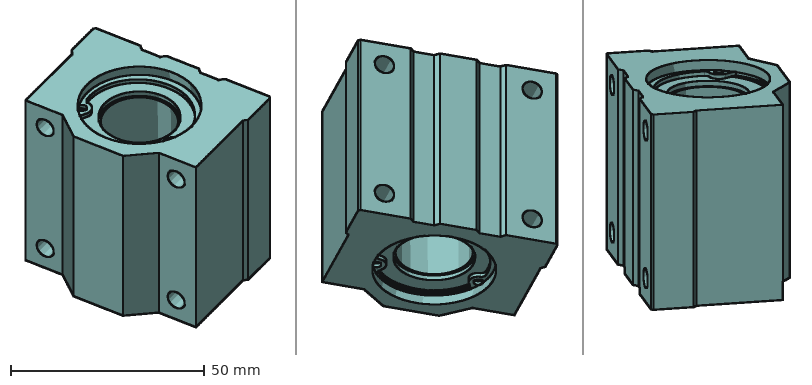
import cadquery as cq
import math

length = 53.0
flange_half = 27.0
body_half = 26.05
back_y = 21.0
flange_y = 9.9
shoulder_y = -14.0
nose_y = -20.0
nose_root_half = 14.7
nose_tip_half = 7.55
corner_chamfer = 0.55
flange_bevel = flange_half - body_half

channel_outer = 12.9
channel_inner = 4.95
channel_depth = 1.2

mount_diameter = 5.2
mount_pitch = 40.0

bearing_diameter = 32.0
bearing_length = 45.15
bearing_chamfer = 0.6
bore_diameter = 20.0
mouth_diameter = 21.2
mouth_depth = 1.45

ring_diameter = 33.7
ring_thickness = 1.2
ring_inner_radius = 14.75
ring_inner_offset = -0.7
lug_diameter = 5.2
lug_hole_diameter = 2.5
lug_x = 13.8
lug_y = -5.95
lug_flank_angle = 62.0
lug_fillet = 1.2


def cylinder(diameter, height, bottom_z=0.0, x=0.0, y=0.0):
    """Upright cylinder standing on bottom_z."""
    return cq.Workplane("XY", origin=(x, y, bottom_z)).circle(diameter / 2).extrude(height)


def make_profile_block():
    right_side = [
        (nose_tip_half, nose_y),
        (nose_root_half, shoulder_y),
        (body_half, shoulder_y),
        (body_half, flange_y - flange_bevel),
        (flange_half, flange_y),
        (flange_half, back_y - corner_chamfer),
        (flange_half - corner_chamfer, back_y),
        (channel_outer, back_y),
        (channel_outer - channel_depth, back_y - channel_depth),
        (channel_inner + channel_depth, back_y - channel_depth),
        (channel_inner, back_y),
    ]
    left_side = [(-x, y) for x, y in reversed(right_side)]
    outline = cq.Workplane("XY", origin=(0, 0, -length / 2)).polyline(right_side + left_side)
    return outline.close().extrude(length)


def make_housing():
    block = make_profile_block()
    block = block.cut(cylinder(bearing_diameter, length, -length / 2))
    for bottom_z in (bearing_length / 2, -bearing_length / 2 - ring_thickness):
        block = block.cut(cylinder(ring_diameter, ring_thickness, bottom_z))
    mount_holes = (
        cq.Workplane("XZ", origin=(0, back_y, 0))
        .rarray(mount_pitch, mount_pitch, 2, 2)
        .circle(mount_diameter / 2)
        .extrude(back_y - nose_y)
    )
    return block.cut(mount_holes)


def make_bearing():
    half_length = bearing_length / 2
    sleeve = cylinder(bearing_diameter, bearing_length, -half_length)
    sleeve = sleeve.faces("<Z or >Z").edges().chamfer(bearing_chamfer)
    sleeve = sleeve.cut(cylinder(bore_diameter, bearing_length, -half_length))
    for bottom_z in (-half_length, half_length - mouth_depth):
        sleeve = sleeve.cut(cylinder(mouth_diameter, mouth_depth, bottom_z))
    return sleeve


def make_lug(side, bottom_z):
    """Round lug whose lower flank runs on in a straight line to the rim of the ring."""
    lug = cylinder(lug_diameter, ring_thickness, bottom_z, side * lug_x, lug_y)
    flank = (
        cq.Workplane("XY", origin=(side * lug_x, lug_y, bottom_z))
        .transformed(rotate=(0, 0, -90 + side * (90 - lug_flank_angle)))
        .center(lug_diameter / 2, 0)
        .rect(lug_diameter, lug_diameter)
        .extrude(ring_thickness)
    )
    return lug.union(flank)


def lug_corners(bottom_z):
    """Selector for the inner corners where the band of the ring runs into the lugs."""
    radius = lug_diameter / 2
    dx = lug_x
    dy = lug_y - ring_inner_offset
    distance = math.hypot(dx, dy)
    along = (ring_inner_radius**2 - radius**2 + distance**2) / (2 * distance)
    across = math.sqrt(ring_inner_radius**2 - along**2)
    corner_x = (along * dx - across * dy) / distance
    corner_y = ring_inner_offset + (along * dy + across * dx) / distance
    middle_z = bottom_z + ring_thickness / 2
    right = cq.selectors.NearestToPointSelector((corner_x, corner_y, middle_z))
    left = cq.selectors.NearestToPointSelector((-corner_x, corner_y, middle_z))
    return right + left


def make_ring(bottom_z):
    """Open retaining ring, thinning from the back toward two eyed lugs at the front."""
    disc = cylinder(ring_diameter, ring_thickness, bottom_z)
    ring = disc.cut(cylinder(2 * ring_inner_radius, ring_thickness, bottom_z, y=ring_inner_offset))
    gap_reach = ring_diameter
    gap_x = gap_reach * lug_x / math.hypot(lug_x, lug_y)
    gap_y = gap_reach * lug_y / math.hypot(lug_x, lug_y)
    gap = (
        cq.Workplane("XY", origin=(0, 0, bottom_z))
        .polyline([(0, 0), (gap_x, gap_y), (0, -2 * gap_reach), (-gap_x, gap_y)])
        .close()
        .extrude(ring_thickness)
    )
    ring = ring.cut(gap)
    for side in (-1, 1):
        ring = ring.union(make_lug(side, bottom_z).intersect(disc))
    ring = ring.edges(lug_corners(bottom_z)).fillet(lug_fillet)
    for side in (-1, 1):
        ring = ring.cut(cylinder(lug_hole_diameter, ring_thickness, bottom_z, side * lug_x, lug_y))
    return ring


housing = make_housing()
bearing = make_bearing()
rings = [make_ring(z) for z in (bearing_length / 2, -bearing_length / 2 - ring_thickness)]

result = cq.Compound.makeCompound([housing.val(), bearing.val(), *[ring.val() for ring in rings]])